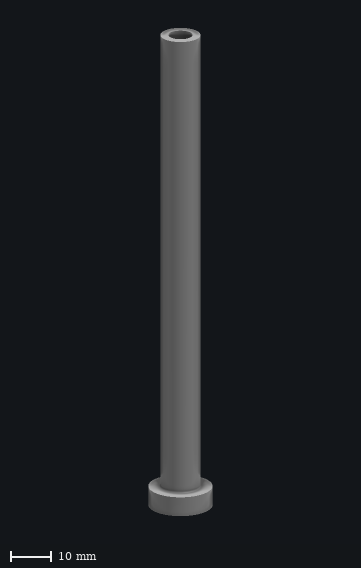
import cadquery as cq

total_length = 125.0
head_diameter = 16.0
head_height = 5.0
shank_diameter = 10.0
bore_diameter = 6.0
root_fillet = 0.5

head_radius = head_diameter / 2
shank_radius = shank_diameter / 2
bore_radius = bore_diameter / 2

half_section = (
    cq.Workplane("XZ")
    .moveTo(-bore_radius, 0)
    .lineTo(-head_radius, 0)
    .lineTo(-head_radius, head_height)
    .lineTo(-shank_radius - root_fillet, head_height)
    .radiusArc((-shank_radius, head_height + root_fillet), -root_fillet)
    .lineTo(-shank_radius, total_length)
    .lineTo(-bore_radius, total_length)
    .close()
)

result = half_section.revolve(360, (0, 0), (0, 1))